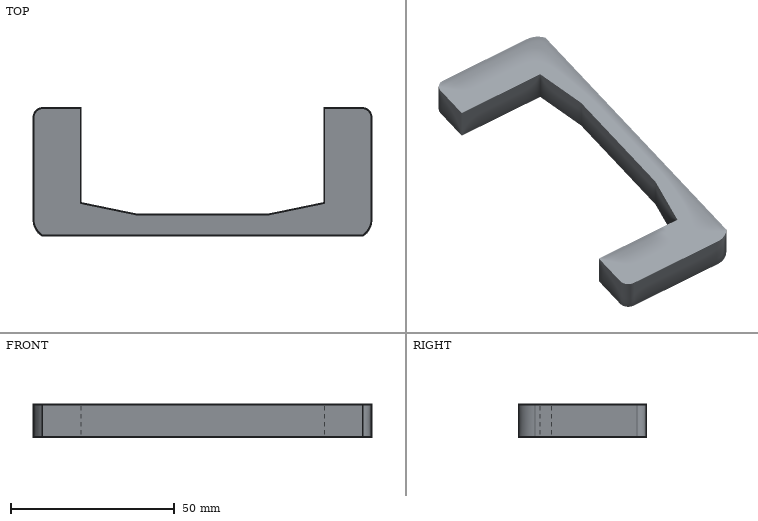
import cadquery as cq
import math

length = 103.2
depth = 39.0
thickness = 10.0

opening_width = 74.2
bar_depth = 6.5
bar_end_depth = 10.0
straight_length = 40.2

leg_tip_radius = 3.0
bar_corner_radius = 6.0
bar_corner_height = 5.0

half_length = length / 2
half_opening = opening_width / 2
half_straight = straight_length / 2


def corner_inset(height):
    """Distance from the leg side in to the corner arc, at a height above the outer face."""
    drop = bar_corner_height - height
    return bar_corner_radius - math.sqrt(bar_corner_radius**2 - drop**2)


def handle_profile():
    """Closed outline of the handle, with the bar's outer face on Y = 0."""
    foot = half_length - corner_inset(0)
    mid_height = bar_corner_height / 2
    mid_x = half_length - corner_inset(mid_height)
    return (
        cq.Workplane("XY")
        .moveTo(-foot, 0)
        .lineTo(foot, 0)
        .threePointArc((mid_x, mid_height), (half_length, bar_corner_height))
        .lineTo(half_length, depth)
        .lineTo(half_opening, depth)
        .lineTo(half_opening, bar_end_depth)
        .lineTo(half_straight, bar_depth)
        .lineTo(-half_straight, bar_depth)
        .lineTo(-half_opening, bar_end_depth)
        .lineTo(-half_opening, depth)
        .lineTo(-half_length, depth)
        .lineTo(-half_length, bar_corner_height)
        .threePointArc((-mid_x, mid_height), (-foot, 0))
        .close()
    )


def round_leg_tips(body):
    """Round the outer vertical edge at the tip of each leg."""
    for side in (-1, 1):
        tip_edge = cq.NearestToPointSelector((side * half_length, depth, thickness / 2))
        body = body.edges("|Z").edges(tip_edge).fillet(leg_tip_radius)
    return body


result = round_leg_tips(handle_profile().extrude(thickness))